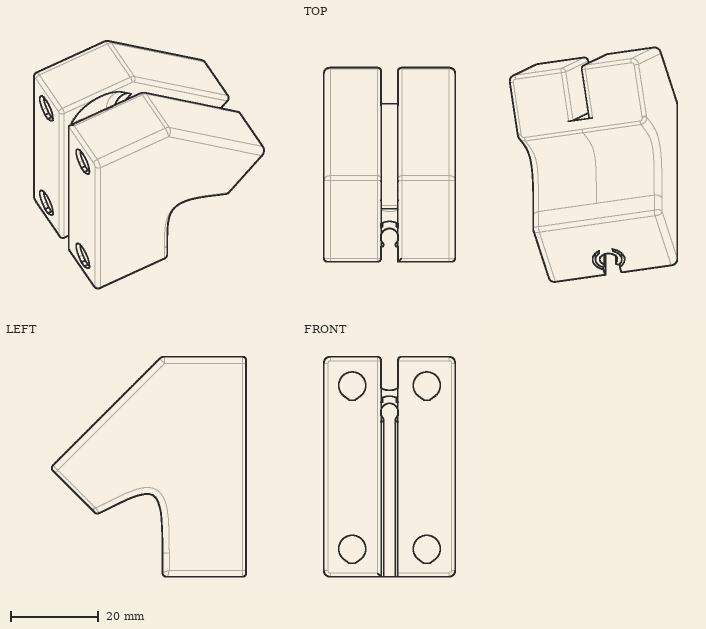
import cadquery as cq
import math

WIDTH = 30.0
HEIGHT = 50.23
RIDGE_DEPTH = 19.3
BACK_DEPTH = 19.1
BACK_HEIGHT = 5.5
TIP_DEPTH = 44.72
ARM_END_LENGTH = 15.0
BACK_HANDLE = 16.5
ARM_HANDLE = 15.5
UNDERSIDE_ANGLE = 27.0

SIDE_ROUND = 1.5
FACE_ROUND = 0.9

SLOT_WIDTH = 3.8
CHANNEL_RADIUS = 3.65
CHANNEL_DEPTH = 5.6
BEND_RADIUS = 5.0
BEND_HEIGHT = 41.2
BEND_ANGLE = 135.0
POCKET_DROP = 4.65
POCKET_ROUND = 3.0

CLIP_RADIUS = 2.5
CLIP_WALL = 1.0
CLIP_TIP_SPACING = 3.7
CLIP_NECK = 3.15
CLIP_BACK_HEIGHT = 41.2

MAGNET_RADIUS = 3.08
MAGNET_POCKET_DEPTH = 1.0
MAGNET_FLAT_DROP = 3.33
MAGNET_FLANK_ANGLE = 36.0
MAGNET_OFFSET = 8.5
MAGNET_HEIGHTS = (6.4, 43.65)

DIAG = math.sqrt(0.5)
TIP = (TIP_DEPTH, HEIGHT - (TIP_DEPTH - RIDGE_DEPTH))
ARM_FOOT = (TIP[0] - ARM_END_LENGTH * DIAG, TIP[1] - ARM_END_LENGTH * DIAG)
ARM_END_CENTER = ((TIP[0] + ARM_FOOT[0]) / 2, (TIP[1] + ARM_FOOT[1]) / 2)
BEND_CENTER = (CHANNEL_DEPTH + BEND_RADIUS, BEND_HEIGHT)
POCKET_FLOOR = BEND_RADIUS - POCKET_DROP
BEYOND = HEIGHT
TOLERANCE = 0.01


def on_arm(along, outward):
    """(y, z) of a point measured from the bend centre: down the arm, and square to its slope."""
    return (
        BEND_CENTER[0] + (outward + along) * DIAG,
        BEND_CENTER[1] + (outward - along) * DIAG,
    )


def make_body():
    angle = math.radians(UNDERSIDE_ANGLE)
    arm_control = (
        ARM_FOOT[0] - ARM_HANDLE * math.cos(angle),
        ARM_FOOT[1] + ARM_HANDLE * math.sin(angle),
    )
    back_control = (BACK_DEPTH, BACK_HEIGHT + BACK_HANDLE)
    outline = (
        cq.Workplane("YZ")
        .moveTo(0, 0)
        .lineTo(0, HEIGHT)
        .lineTo(RIDGE_DEPTH, HEIGHT)
        .lineTo(*TIP)
        .lineTo(*ARM_FOOT)
        .bezier([ARM_FOOT, arm_control, back_control, (BACK_DEPTH, BACK_HEIGHT)])
        .lineTo(BACK_DEPTH, 0)
        .close()
    )
    return outline.extrude(WIDTH / 2, both=True)


def make_slot():
    """Slot from the channel axis outwards, deepened into the connector pocket along the arm."""
    open_slot = (
        cq.Workplane("YZ")
        .moveTo(CHANNEL_DEPTH, -BEYOND)
        .lineTo(CHANNEL_DEPTH, BEND_HEIGHT)
        .threePointArc(
            (BEND_CENTER[0] - BEND_RADIUS * math.cos(math.radians(BEND_ANGLE / 2)),
             BEND_CENTER[1] + BEND_RADIUS * math.sin(math.radians(BEND_ANGLE / 2))),
            on_arm(0, BEND_RADIUS),
        )
        .lineTo(*on_arm(BEYOND, BEND_RADIUS))
        .lineTo(*on_arm(BEYOND, BEYOND))
        .lineTo(-BEYOND, BEYOND * 2)
        .lineTo(-BEYOND, -BEYOND)
        .close()
        .extrude(SLOT_WIDTH / 2, both=True)
    )
    round_middle = POCKET_ROUND * (1 - DIAG)
    pocket = (
        cq.Workplane("YZ")
        .moveTo(*on_arm(0, BEYOND))
        .lineTo(*on_arm(0, POCKET_FLOOR + POCKET_ROUND))
        .threePointArc(
            on_arm(round_middle, POCKET_FLOOR + round_middle),
            on_arm(POCKET_ROUND, POCKET_FLOOR),
        )
        .lineTo(*on_arm(BEYOND, POCKET_FLOOR))
        .lineTo(*on_arm(BEYOND, BEYOND))
        .close()
        .extrude(SLOT_WIDTH / 2, both=True)
    )
    return open_slot.union(pocket)


def is_near(point, y, z):
    return math.hypot(point.y - y, point.z - z) < TOLERANCE


def round_bottom_back(body):
    """Round the edge between the bottom and the upright back face."""
    edges = [edge for edge in body.edges().vals() if is_near(edge.Center(), BACK_DEPTH, 0)]
    return body.newObject(edges).fillet(FACE_ROUND)


def round_sides(body):
    """Round both side outlines, except along the front face and the arm end, and the ridge."""
    def is_rounded(edge):
        center = edge.Center()
        if is_near(center, RIDGE_DEPTH, HEIGHT):
            return True
        on_side = abs(abs(center.x) - WIDTH / 2) < TOLERANCE
        along_x = edge.BoundingBox().xlen > TOLERANCE
        on_front = center.y < TOLERANCE
        return on_side and not along_x and not on_front and not is_near(center, *ARM_END_CENTER)

    edges = [edge for edge in body.edges().vals() if is_rounded(edge)]
    return body.newObject(edges).fillet(SIDE_ROUND)


def round_front_and_slot(body):
    """Round the front face and the slot's upper edges, leaving the +X slot edge in front sharp."""
    def is_rounded(edge):
        center = edge.Center()
        along_x = edge.BoundingBox().xlen > TOLERANCE
        on_slot = abs(abs(center.x) - SLOT_WIDTH / 2) < TOLERANCE and not along_x
        if center.y < TOLERANCE:
            return not (on_slot and center.x > 0)
        on_top = center.z > HEIGHT - SIDE_ROUND
        on_slope = abs(center.y + center.z - RIDGE_DEPTH - HEIGHT) < TOLERANCE
        return on_slot and (on_top or on_slope)

    edges = [edge for edge in body.edges().vals() if is_rounded(edge)]
    return body.newObject(edges).fillet(FACE_ROUND)


def round_arm_end(body):
    """Round the arm's end face all round, leaving the edge of the pocket floor sharp."""
    floor_level = sum(on_arm(0, POCKET_FLOOR))

    def is_end_face(face):
        normal = face.normalAt()
        faces_down_arm = abs(normal.y - DIAG) < TOLERANCE and abs(normal.z + DIAG) < TOLERANCE
        return faces_down_arm and face.Center().y > BACK_DEPTH

    def is_floor_edge(edge):
        center = edge.Center()
        return abs(center.y + center.z - floor_level) < TOLERANCE

    end_faces = [face for face in body.faces().vals() if is_end_face(face)]
    edges = [edge for face in end_faces for edge in face.Edges() if not is_floor_edge(edge)]
    return body.newObject(edges).fillet(FACE_ROUND)


def make_channel():
    upright = (
        cq.Workplane("XY")
        .center(0, CHANNEL_DEPTH)
        .circle(CHANNEL_RADIUS)
        .extrude(BEND_HEIGHT)
    )
    bend = (
        cq.Workplane("XY", origin=(0, CHANNEL_DEPTH, BEND_HEIGHT))
        .circle(CHANNEL_RADIUS)
        .revolve(BEND_ANGLE, (0, BEND_RADIUS), (-1, BEND_RADIUS))
    )
    arm_start = on_arm(0, BEND_RADIUS)
    arm_plane = cq.Plane(origin=(0, *arm_start), xDir=(1, 0, 0), normal=(0, 1, -1))
    along_arm = cq.Workplane(arm_plane).circle(CHANNEL_RADIUS).extrude(POCKET_ROUND)
    return upright.union(bend).union(along_arm)


def make_clip():
    """C-shaped snap clip open to the front, joined to the rear of the channel, with a 45 degree top."""
    tip_x = CLIP_TIP_SPACING / 2
    tip_y = -math.sqrt(CLIP_RADIUS**2 - tip_x**2)
    plan = cq.Workplane("XY", origin=(0, CHANNEL_DEPTH, 0))
    ring = plan.circle(CLIP_RADIUS + CLIP_WALL / 2).circle(CLIP_RADIUS - CLIP_WALL / 2).extrude(HEIGHT)
    mouth = plan.polyline([(0, 0), (-2 * tip_x, 2 * tip_y), (2 * tip_x, 2 * tip_y)]).close().extrude(HEIGHT)
    tips = plan.pushPoints([(-tip_x, tip_y), (tip_x, tip_y)]).circle(CLIP_WALL / 2).extrude(HEIGHT)
    neck_end = CHANNEL_RADIUS + CLIP_WALL / 2
    neck = (
        plan.center(0, (CLIP_RADIUS + neck_end) / 2)
        .rect(CLIP_NECK, neck_end - CLIP_RADIUS)
        .extrude(HEIGHT)
    )
    rear = CHANNEL_DEPTH + CHANNEL_RADIUS
    below_top = (
        cq.Workplane("YZ")
        .moveTo(0, 0)
        .lineTo(0, CLIP_BACK_HEIGHT - rear)
        .lineTo(rear, CLIP_BACK_HEIGHT)
        .lineTo(rear + CLIP_WALL, CLIP_BACK_HEIGHT)
        .lineTo(rear + CLIP_WALL, 0)
        .close()
        .extrude(WIDTH / 2, both=True)
    )
    return ring.cut(mouth).union(tips).union(neck).intersect(below_top)


def make_magnet_pockets():
    """Round pockets whose lower edge runs out in two straight flanks and a short flat."""
    flank = math.radians(MAGNET_FLANK_ANGLE)
    touch = (MAGNET_RADIUS * math.sin(flank), -MAGNET_RADIUS * math.cos(flank))
    flat_half = (MAGNET_RADIUS - MAGNET_FLAT_DROP * math.cos(flank)) / math.sin(flank)
    pockets = cq.Workplane("XZ")
    for x in (-MAGNET_OFFSET, MAGNET_OFFSET):
        for z in MAGNET_HEIGHTS:
            pocket = (
                cq.Workplane("XZ", origin=(x, 0, z))
                .moveTo(*touch)
                .threePointArc((0, MAGNET_RADIUS), (-touch[0], touch[1]))
                .lineTo(-flat_half, -MAGNET_FLAT_DROP)
                .lineTo(flat_half, -MAGNET_FLAT_DROP)
                .close()
                .extrude(-MAGNET_POCKET_DEPTH)
            )
            pockets = pockets.add(pocket)
    return pockets.combine()


result = round_bottom_back(make_body())
result = result.cut(make_slot())
result = round_sides(result)
result = round_front_and_slot(result)
result = round_arm_end(result)
result = result.cut(make_channel())
result = result.union(make_clip())
result = result.cut(make_magnet_pockets())